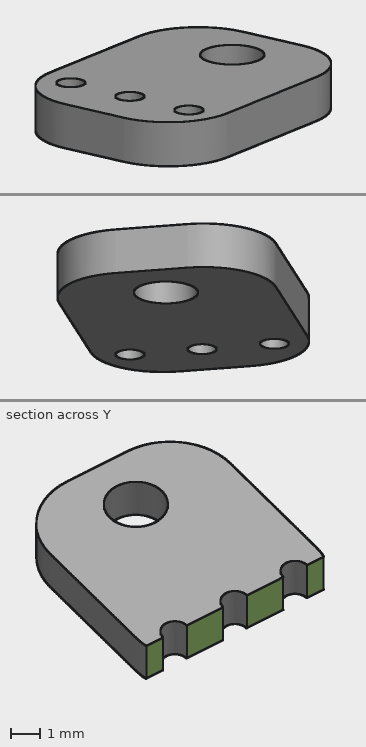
import cadquery as cq

width = 7.62
length = 10.16
thickness = 1.6
corner_radius = width / 3

large_hole_diameter = 2.2
large_hole_y = 2.79

small_hole_diameter = 1.0
small_hole_count = 3
small_hole_spacing = 2.54
small_hole_row_y = -3.05


def make_plate():
    """Flat plate with rounded vertical corners, centred on the origin."""
    plate = cq.Workplane("XY").box(width, length, thickness)
    return plate.edges("|Z").fillet(corner_radius)


def cut_large_hole(plate):
    """Through hole on the plate's centreline."""
    face = plate.faces(">Z").workplane(origin=(0, 0, 0))
    return face.center(0, large_hole_y).hole(large_hole_diameter)


def cut_small_holes(plate):
    """Evenly spaced row of through holes, centred across the width."""
    face = plate.faces(">Z").workplane(origin=(0, 0, 0))
    row = face.center(0, small_hole_row_y).rarray(small_hole_spacing, 0.1, small_hole_count, 1)
    return row.hole(small_hole_diameter)


result = cut_small_holes(cut_large_hole(make_plate()))